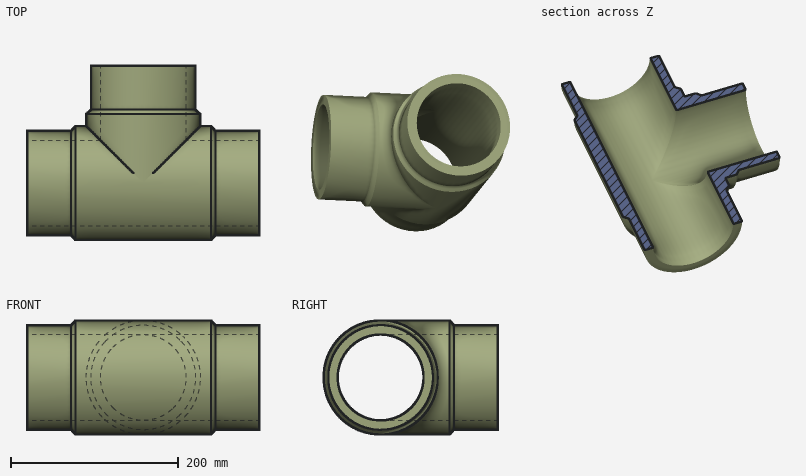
import cadquery as cq

run_length = 277.0
branch_length = 140.0
spigot_diameter = 125.0
bore_diameter = 102.2
body_diameter = 136.4
spigot_length = 52.5
shoulder_length = 5.2


def arm_outline(length):
    """Points (along axis, radius) of one arm, from the body outward to the spigot end."""
    body_end = length - spigot_length
    body_radius = body_diameter / 2
    spigot_radius = spigot_diameter / 2
    return [
        (body_end - shoulder_length, body_radius),
        (body_end, spigot_radius),
        (length, spigot_radius),
        (length, 0),
    ]


def revolve_about_x(outline):
    return cq.Workplane("XY").polyline(outline).close().revolve(360, (0, 0, 0), (1, 0, 0))


def make_run():
    right_half = arm_outline(run_length / 2)
    left_half = [(-x, radius) for x, radius in reversed(right_half)]
    return revolve_about_x(left_half + right_half)


def make_branch():
    from_center = [(0, 0), (0, body_diameter / 2)]
    branch_along_x = revolve_about_x(from_center + arm_outline(branch_length))
    return branch_along_x.rotate((0, 0, 0), (0, 0, 1), 90)


def make_bores():
    run_bore = cq.Workplane("YZ").circle(bore_diameter / 2).extrude(run_length / 2, both=True)
    branch_bore = cq.Workplane("XZ").circle(bore_diameter / 2).extrude(-branch_length)
    return run_bore.union(branch_bore)


result = make_run().union(make_branch()).cut(make_bores())